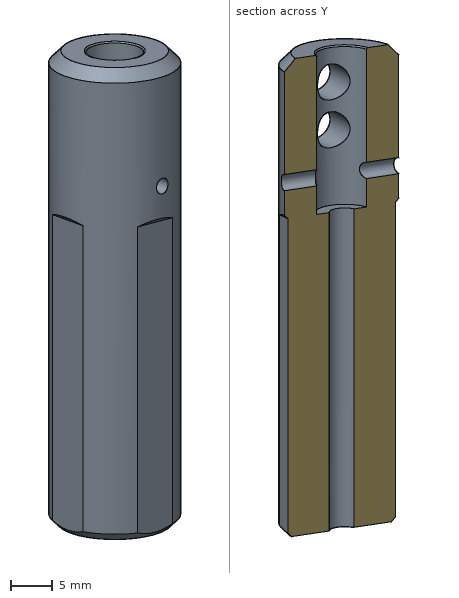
import cadquery as cq

length = 60.0
shank_diameter = 16.0
shank_radius = shank_diameter / 2
top_chamfer = 1.5
bottom_chamfer = 1.0

flat_count = 4
across_flats = 15.0
flat_top = 40.0

through_diameter = 3.7
bore_diameter = 7.0
bore_depth = 20.0
bore_chamfer = 0.2

screw_diameter = 4.5
screw_depths = (4.5, 10.5)

pin_diameter = 2.0
pin_offset = 0.8
pin_depth = 15.4


def make_shank():
    shank = cq.Workplane("XY").circle(shank_radius).extrude(length)
    shank = shank.faces(">Z").chamfer(top_chamfer)
    return shank.faces("<Z").chamfer(bottom_chamfer)


def make_flat_cutter():
    """Prism on the +X side that leaves one flat with a sloping upper end."""
    inner = across_flats / 2
    outer = shank_diameter
    run_out = outer - inner
    return (
        cq.Workplane("XZ")
        .polyline([(inner, 0), (outer, 0), (outer, flat_top + run_out), (inner, flat_top)])
        .close()
        .extrude(shank_radius, both=True)
    )


def make_bore():
    bore = cq.Workplane("XY").circle(through_diameter / 2).extrude(length)
    wide_bore = (
        cq.Workplane("XY")
        .workplane(offset=length - bore_depth)
        .circle(bore_diameter / 2)
        .extrude(bore_depth)
    )
    mouth = (
        cq.Workplane("XY")
        .workplane(offset=length)
        .circle(bore_diameter / 2 + bore_chamfer)
        .workplane(offset=-bore_chamfer)
        .circle(bore_diameter / 2)
        .loft()
    )
    return bore.union(wide_bore).union(mouth)


def make_screw_hole(depth):
    """Radial hole from the axis outward through the +Y wall."""
    return (
        cq.Workplane("XZ")
        .center(0, length - depth)
        .circle(screw_diameter / 2)
        .extrude(-shank_diameter)
    )


def make_pin_hole():
    return (
        cq.Workplane("YZ")
        .center(pin_offset, length - pin_depth)
        .circle(pin_diameter / 2)
        .extrude(shank_diameter, both=True)
    )


result = make_shank()

flat_cutter = make_flat_cutter()
for index in range(flat_count):
    angle = index * 360 / flat_count
    result = result.cut(flat_cutter.rotate((0, 0, 0), (0, 0, 1), angle))

result = result.cut(make_bore())
for screw_depth in screw_depths:
    result = result.cut(make_screw_hole(screw_depth))
result = result.cut(make_pin_hole())